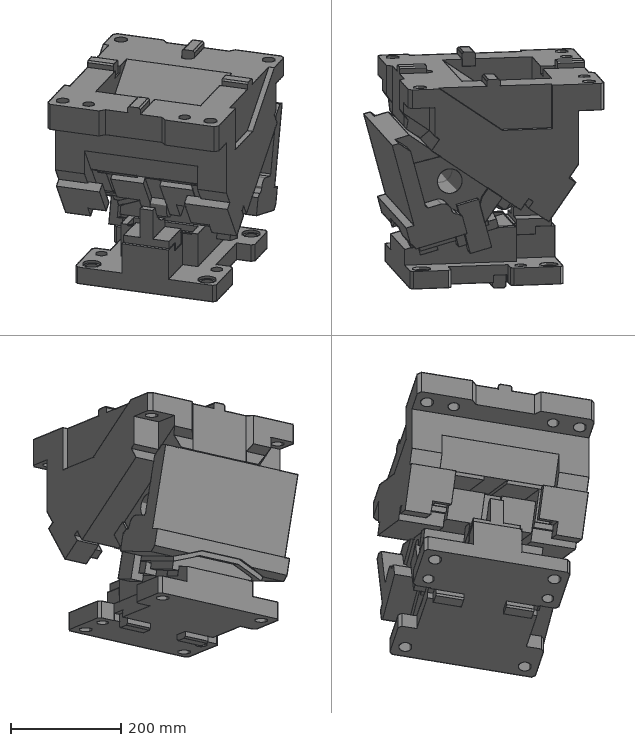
import cadquery as cq
import math

SLOPE_ANGLE = math.radians(35)
SLOPE_ORIGIN = (154.5, 157.5)
CAM_ANGLE = math.radians(15)
CAM_ORIGIN = (344.7, 80.5)
FAR = 478.8


def slope(u, v):
    """(Y, Z) of a point given in the slope frame."""
    c, s = math.cos(SLOPE_ANGLE), math.sin(SLOPE_ANGLE)
    return (SLOPE_ORIGIN[0] + u * c - v * s, SLOPE_ORIGIN[1] + u * s + v * c)


def cam(s, t):
    """(Y, Z) of a point given in the cam frame."""
    c, n = math.cos(CAM_ANGLE), math.sin(CAM_ANGLE)
    return (CAM_ORIGIN[0] - s * c + t * n, CAM_ORIGIN[1] + s * n + t * c)


def cam_at_height(t, z):
    """(Y, Z) of the point of the cam line at height t that lies at the given Z."""
    c, n = math.cos(CAM_ANGLE), math.sin(CAM_ANGLE)
    return cam((z - CAM_ORIGIN[1] - t * c) / n, t)


def prism(points, half_width):
    """Side profile in (Y, Z), extruded evenly about the middle plane."""
    return cq.Workplane("YZ").polyline(points).close().extrude(half_width, both=True)


def side_prisms(points, inner, outer):
    """The same side profile on both flanks, from |X| = inner to |X| = outer."""
    right = cq.Workplane("YZ").workplane(offset=inner).polyline(points).close().extrude(outer - inner)
    return right.union(right.mirror("YZ"))


def cam_section(points, s_start, s_end):
    """Section in (X, t), extruded along the pad from s_start to s_end."""
    y, z = cam(s_start, 0)
    direction = (0, -math.cos(CAM_ANGLE), math.sin(CAM_ANGLE))
    plane = cq.Plane(origin=(0, y, z), xDir=(1, 0, 0), normal=direction)
    return cq.Workplane(plane).polyline(points).close().extrude(s_end - s_start)


def mirrored(right_half):
    """Closed symmetric section from the points of its +X half, listed from bottom to top."""
    return right_half + [(-x, h) for x, h in reversed(right_half)]


def block(x0, x1, y0, y1, z0, z1):
    return cq.Workplane("XY").box(x1 - x0, y1 - y0, z1 - z0, centered=False).translate((x0, y0, z0))


def slope_rectangle(u0, u1, v0, v1):
    return [slope(u0, v0), slope(u1, v0), slope(u1, v1), slope(u0, v1)]


def cam_rectangle(s0, s1, t0, t1):
    return [cam(s0, t0), cam(s1, t0), cam(s1, t1), cam(s0, t1)]


def rail_key(length, width, height, bevel):
    """Locating key along X, centred, standing on Z = 0, with bevelled long upper edges."""
    key = cq.Workplane("XY").box(length, width, height, centered=(True, True, False))
    return key.edges("|X and >Z").chamfer(bevel)


KEY_WIDTH = 24.7
KEY_HEIGHT = 12.5
KEY_BEVEL = 3.0
GROOVE_DEPTH = 13.5
BOLT_RADIUS = 11.5
DOWEL_RADIUS = 10.5
TOP = 399.0

STEM_FRONT = -10.5
FLANGE_HALF = 79.0
FLANGE_TOP = 72.5
SLIDE_FRONT = 27.5
FRONT_FOOT = -58.0
SLIDE_RELIEF = -2.5
CHEEK_HALF = 149.5
CORE_HALF = 110.0

ROOF_ANGLE = math.radians(20)
ROOF_HALF = 101.7
ROOF_FLAT_HALF = 42.5
ROOF_EDGE = 8.5
ROOF_THICKNESS = 8.8
ROOF_TOP = ROOF_EDGE + (ROOF_HALF - ROOF_FLAT_HALF) * math.tan(ROOF_ANGLE)
EAR_BOTTOM = -23.0

PLATE_HALF = 330.0 / 2
PLATE_DEPTH = 360.5
PLATE_TOP = TOP - KEY_HEIGHT
PLATE_FRONT_BOTTOM = 337.5
PLATE_REAR_BOTTOM = 352.5
PLATE_CORNER = 6.8
NOTCH_DEPTH = 10.0
FRONT_NOTCH_HALF = 64.0
REAR_NOTCH_HALF = 69.5
NOTCH_RUN = 9.0

JAW_FRONT = 48.0
JAW_REAR = 313.0
JAW_END = -56.0
TOE_BOTTOM = 10.5
TOE_TOP = 97.0
TOE_BACK = -40.5
GAP_TOP = 25.0
REAR_GAP = (200.5, 211.5)
TOE_INNER_HALF = 117.0
TOE_INNER_BOTTOM = 35.0
CHANNEL_HALF = 81.8
CHANNEL_TOP = 95.8
CHANNEL_REAR = 183.5
RECESS_HALF = 109.0
ROOF_GROOVE_HALF = 21.5
ROOF_GROOVE_TOP = 102.5
STRIP_OUTER = 97.5
STRIP_SETBACK = 1.5
TOE_LIP_BACK = -37.5
RECESS_FACE = -14.8
REAR_BLOCK_HALF = 109.5
REAR_BLOCK_BACK = 351.0
REAR_BLOCK_LAP = 12.0
REAR_BLOCK_BOTTOM = 2.8
REAR_BLOCK_BEND = 332.5

POCKET_HALF = 101.0
POCKET_FLOOR = 306.0
POCKET_FRONT = 86.5
POCKET_FLAT_END = 136.5
FLANK_HALF = 154.5
FLANK_FRONT = 96.0
FLANK_FLAT_END = 188.5
SIDE_KEY_Y = 202.5
KEY_LENGTH = 50.0


def plate_outline():
    def edge(y, inward, notch_half):
        return [
            (PLATE_HALF, y + inward * PLATE_CORNER),
            (PLATE_HALF - PLATE_CORNER, y),
            (notch_half, y),
            (notch_half - NOTCH_RUN, y + inward * NOTCH_DEPTH),
        ]

    front = edge(0, 1, FRONT_NOTCH_HALF)
    rear = edge(PLATE_DEPTH, -1, REAR_NOTCH_HALF)
    left = [(-x, y) for x, y in reversed(front)] + [(-x, y) for x, y in rear]
    return front + left + list(reversed(rear))


def plate_column(bottom):
    """The outline of the top plate, extruded from the given Z up to the plate top."""
    base = cq.Workplane("XY").workplane(offset=bottom)
    return base.polyline(plate_outline()).close().extrude(PLATE_TOP - bottom)


def holder_plate():
    plate = plate_column(PLATE_FRONT_BOTTOM)
    rear_step = block(-FAR, FAR, JAW_REAR, FAR, PLATE_FRONT_BOTTOM, PLATE_REAR_BOTTOM)
    return plate.cut(rear_step)


def holder_jaws():
    undercut_rise = (slope(TOE_BACK, 0)[0] - JAW_FRONT) / math.sin(SLOPE_ANGLE)
    rear_rise = slope(REAR_GAP[1], GAP_TOP)
    profile = [
        (JAW_FRONT, PLATE_REAR_BOTTOM),
        (JAW_REAR, PLATE_REAR_BOTTOM),
        (JAW_REAR, rear_rise[1]),
        slope(REAR_GAP[0], GAP_TOP),
        slope(REAR_GAP[0], 0),
        slope(0, 0),
        slope(0, GAP_TOP),
        slope(STEM_FRONT, GAP_TOP),
        slope(STEM_FRONT, TOE_BOTTOM),
        slope(JAW_END, TOE_BOTTOM),
        slope(JAW_END, TOE_TOP),
        slope(TOE_BACK, TOE_TOP),
        slope(TOE_BACK, undercut_rise),
    ]
    jaws = prism(profile, PLATE_HALF)
    channel = slope_rectangle(-FAR / 2, CHANNEL_REAR, -FAR / 2, CHANNEL_TOP)
    jaws = jaws.cut(prism(channel, CHANNEL_HALF))
    toe_step = slope_rectangle(-FAR / 2, STEM_FRONT, -FAR / 2, TOE_INNER_BOTTOM)
    jaws = jaws.cut(prism(toe_step, TOE_INNER_HALF))
    roof_groove = slope_rectangle(RECESS_FACE, CHANNEL_REAR, CHANNEL_TOP, ROOF_GROOVE_TOP)
    jaws = jaws.cut(prism(roof_groove, ROOF_GROOVE_HALF))
    recess = [
        slope(-FAR / 2, TOE_TOP),
        slope(TOE_LIP_BACK, TOE_TOP),
        slope(TOE_LIP_BACK, TOE_BOTTOM),
        slope(RECESS_FACE, TOE_BOTTOM),
        slope(RECESS_FACE, FAR / 2),
        slope(-FAR / 2, FAR / 2),
    ]
    below_plate = block(-RECESS_HALF, RECESS_HALF, -FAR, FAR, 0, PLATE_FRONT_BOTTOM)
    jaws = jaws.cut(prism(recess, RECESS_HALF).intersect(below_plate))
    strip_end = RECESS_FACE + STRIP_SETBACK
    jaws = jaws.cut(prism(slope_rectangle(RECESS_FACE, strip_end, TOE_BOTTOM, ROOF_GROOVE_TOP), RECESS_HALF))
    strips = slope_rectangle(RECESS_FACE + STRIP_SETBACK / 2, strip_end, CHANNEL_TOP, ROOF_GROOVE_TOP)
    jaws = jaws.union(side_prisms(strips, ROOF_GROOVE_HALF, STRIP_OUTER))
    mouth = slope_rectangle(-FAR / 2, RECESS_FACE, -FAR / 2, TOE_TOP)
    return jaws.cut(prism(mouth, CHANNEL_HALF))


def holder_rear_block():
    bevel = GAP_TOP - REAR_BLOCK_BOTTOM
    bend_drop = (PLATE_DEPTH - REAR_BLOCK_BACK) / math.tan(SLOPE_ANGLE)
    back_u = REAR_BLOCK_BACK - SLOPE_ORIGIN[0] + REAR_BLOCK_BOTTOM * math.sin(SLOPE_ANGLE)
    back_u /= math.cos(SLOPE_ANGLE)
    profile = [
        (JAW_REAR - REAR_BLOCK_LAP, PLATE_REAR_BOTTOM),
        (PLATE_DEPTH, PLATE_REAR_BOTTOM),
        (PLATE_DEPTH, REAR_BLOCK_BEND),
        (REAR_BLOCK_BACK, REAR_BLOCK_BEND - bend_drop),
        slope(back_u, REAR_BLOCK_BOTTOM),
        slope(REAR_GAP[1], REAR_BLOCK_BOTTOM),
        slope(REAR_GAP[1], GAP_TOP),
    ]
    block_body = prism(profile, REAR_BLOCK_HALF).intersect(plate_column(0))
    section = mirrored([
        (REAR_BLOCK_HALF - bevel, REAR_BLOCK_BOTTOM),
        (REAR_BLOCK_HALF, GAP_TOP),
        (REAR_BLOCK_HALF, FAR),
    ])
    uphill = (0, -math.cos(SLOPE_ANGLE), -math.sin(SLOPE_ANGLE))
    plane = cq.Plane(origin=(0, *SLOPE_ORIGIN), xDir=(1, 0, 0), normal=uphill)
    return block_body.intersect(cq.Workplane(plane).polyline(section).close().extrude(-FAR))


def sunk_profile(front, flat_end):
    """Side profile of a pocket with a flat floor and a rear ramp parallel to the slope."""
    rear = flat_end + (PLATE_TOP - POCKET_FLOOR) / math.tan(SLOPE_ANGLE)
    return [(front, POCKET_FLOOR), (flat_end, POCKET_FLOOR), (rear, PLATE_TOP), (front, PLATE_TOP)]


def make_holder():
    holder = holder_plate().union(holder_jaws()).union(holder_rear_block())
    holder = holder.cut(prism(sunk_profile(POCKET_FRONT, POCKET_FLAT_END), POCKET_HALF))
    holder = holder.cut(side_prisms(sunk_profile(FLANK_FRONT, FLANK_FLAT_END), FLANK_HALF, PLATE_HALF))

    groove_floor = PLATE_TOP - GROOVE_DEPTH
    half = KEY_WIDTH / 2
    rear_end = PLATE_DEPTH - NOTCH_DEPTH - KEY_LENGTH
    side_span = (SIDE_KEY_Y - half, SIDE_KEY_Y + half)
    holder = holder.cut(block(-FLANK_HALF, FLANK_HALF, *side_span, groove_floor, TOP))
    holder = holder.cut(block(-half, half, 0, POCKET_FRONT, groove_floor, TOP))
    holder = holder.cut(block(-half, half, rear_end, PLATE_DEPTH, groove_floor, TOP))
    round_end = cq.Workplane("XY").workplane(offset=groove_floor).center(0, rear_end)
    holder = holder.cut(round_end.circle(half).extrude(GROOVE_DEPTH))

    key = rail_key(KEY_LENGTH, KEY_WIDTH, GROOVE_DEPTH + KEY_HEIGHT, KEY_BEVEL)
    key = key.translate((0, 0, groove_floor))
    cross_key = key.rotate((0, 0, 0), (0, 0, 1), 90)
    for side in (-1, 1):
        holder = holder.union(key.translate((side * (FLANK_HALF - KEY_LENGTH / 2), SIDE_KEY_Y, 0)))
    holder = holder.union(cross_key.translate((0, NOTCH_DEPTH + KEY_LENGTH / 2, 0)))
    holder = holder.union(cross_key.translate((0, PLATE_DEPTH - NOTCH_DEPTH - KEY_LENGTH / 2, 0)))

    bolts = [(x, y) for x in (-142.5, 142.5) for y in (24.7, 336.0)]
    dowels = [(-92.5, 24.7), (92.5, 24.7)]
    for places, radius in ((bolts, BOLT_RADIUS), (dowels, DOWEL_RADIUS)):
        drill = cq.Workplane("XY").workplane(offset=PLATE_FRONT_BOTTOM).pushPoints(places)
        holder = holder.cut(drill.circle(radius).extrude(TOP - PLATE_FRONT_BOTTOM))
    return holder


CHEEK_FRONT = 99.8
CLAMP_FRONT = 140.5
CLAMP_TOP = 55.5
CLAMP_BOTTOM = -37.0
CLAMP_OUTER = 117.0
HOOK_INNER = 91.0
BACK_S = 10.0
BACK_TOP = 206.0
LEDGE_S = -5.0
LEDGE_T = 51.0
WALL_S = 39.5
CHEEK_LOW = 41.5
CHEEK_HIGH = 75.0
NOSE_HALF = 36.0
NOSE_BOTTOM = -24.7
NOSE_BEVEL = 4.8
FLANGE_BOTTOM = 14.0
SLOT_HALF = 16.0
SLOT_END = 1.5
HOLE_CENTRE = (274.5, 203.5)
HOLE_RADIUS = 22.7
BOSS_CENTRE = (159.5, 149.2)
BOSS_RADIUS = 19.5
FINGER_BACK = 141.2
FLANK_RELIEF = 5.5
RELIEF_TOP = 153.0
RELIEF_LOW = -23.0
RELIEF_U = (59.0, 163.5)


def slide_cheeks():
    """Wide rear wall and lower flanks, with a wavy upper edge on the flanks."""
    profile = (
        cq.Workplane("YZ")
        .moveTo(*cam(BACK_S, BACK_TOP))
        .lineTo(*cam(BACK_S, LEDGE_T))
        .lineTo(*cam(LEDGE_S, LEDGE_T))
        .lineTo(*cam(LEDGE_S, 20.0))
        .lineTo(*cam(2.5, ROOF_EDGE))
        .lineTo(*cam(CHEEK_FRONT, ROOF_EDGE))
        .lineTo(*cam(CHEEK_FRONT, CHEEK_LOW))
        .lineTo(*cam(92.0, 48.5))
        .threePointArc(cam(87.0, 51.0), cam(83.8, 56.5))
        .threePointArc(cam(79.5, 69.5), cam(68.2, CHEEK_HIGH))
        .lineTo(*cam(43.0, CHEEK_HIGH))
        .lineTo(*cam(WALL_S, 79.0))
        .lineTo(*cam(WALL_S, 185.5))
        .lineTo(*cam(22.5, BACK_TOP))
        .close()
    )
    return profile.extrude(CHEEK_HALF, both=True)


def slide_core():
    profile = [
        cam(BACK_S, BACK_TOP),
        cam(BACK_S, ROOF_EDGE),
        slope(SLIDE_FRONT, FRONT_FOOT),
        slope(SLIDE_FRONT, SLIDE_RELIEF),
        slope(RELIEF_U[0], SLIDE_RELIEF),
        slope(RELIEF_U[0], 0),
        slope(RELIEF_U[1], 0),
        slope(RELIEF_U[1], SLIDE_RELIEF),
        cam(49.5, BACK_TOP),
    ]
    core = prism(profile, CORE_HALF)
    relief = [
        cam(WALL_S, RELIEF_TOP),
        cam(WALL_S, CHEEK_LOW),
        cam(CLAMP_FRONT, CHEEK_LOW),
        slope(RELIEF_U[0], RELIEF_LOW),
        slope(RELIEF_U[0], 4),
        slope(RELIEF_U[1], 4),
        slope(RELIEF_U[1], 0),
    ]
    return core.cut(side_prisms(relief, CORE_HALF - FLANK_RELIEF, CORE_HALF))


def slide_nose():
    """T-shaped nose whose flange runs in the channel of the holder."""
    flange = prism(slope_rectangle(STEM_FRONT, CHANNEL_REAR, FLANGE_BOTTOM, FLANGE_TOP), FLANGE_HALF)
    bevel_u = NOSE_BEVEL * math.cos(SLOPE_ANGLE)
    bevel_v = NOSE_BEVEL * math.sin(SLOPE_ANGLE)
    stem_profile = [
        slope(STEM_FRONT, FLANGE_BOTTOM),
        slope(STEM_FRONT, NOSE_BOTTOM + bevel_v),
        slope(STEM_FRONT + bevel_u, NOSE_BOTTOM),
        slope(SLIDE_FRONT + 4, NOSE_BOTTOM),
        slope(SLIDE_FRONT + 4, FLANGE_BOTTOM),
    ]
    stem = prism(stem_profile, NOSE_HALF)
    slot = prism(slope_rectangle(STEM_FRONT, SLOT_END, NOSE_BOTTOM, FLANGE_TOP), SLOT_HALF)
    boss = cq.Workplane("YZ").center(*BOSS_CENTRE).circle(BOSS_RADIUS).extrude(SLOT_HALF, both=True)
    return flange.union(stem).cut(slot).union(boss)


def slide_clamps():
    """Two hooks that reach round the driver pad and under its ears."""
    outline = [
        (CLAMP_OUTER, CLAMP_BOTTOM),
        (CLAMP_OUTER, CLAMP_TOP),
        (ROOF_HALF, CLAMP_TOP),
        (ROOF_HALF, EAR_BOTTOM),
        (HOOK_INNER, EAR_BOTTOM),
        (HOOK_INNER, CLAMP_BOTTOM),
    ]
    right = cam_section(outline, CHEEK_FRONT, CLAMP_FRONT)
    return right.union(right.mirror("YZ"))


def make_slide():
    slide = slide_cheeks().union(slide_core()).union(slide_nose())
    roof_space = mirrored([(ROOF_HALF, -FAR), (ROOF_HALF, ROOF_EDGE), (ROOF_FLAT_HALF, ROOF_TOP)])
    slide = slide.cut(cam_section(roof_space, -FAR / 4, PAD_S[1]))
    slide = slide.union(slide_clamps())
    hole = cq.Workplane("YZ").center(*HOLE_CENTRE).circle(HOLE_RADIUS).extrude(FAR, both=True)
    return slide.cut(hole)


BASE_HALF = 135.5
BASE_FRONT = 70.2
BASE_REAR = 352.5
BASE_BOTTOM = KEY_HEIGHT
BASE_TOP = 44.5
BASE_CORNER = 5.5
BASE_NOTCH = (167.0, 276.5)
BASE_NOTCH_DEPTH = 33.5
BASE_BOLT_X = 111.5
BASE_BOLT_Y = (93.5, 328.0)
BASE_DOWEL_Y = 145.2
COUNTERBORE_RADIUS = 16.5
COUNTERBORE_DEPTH = 4.8
RISER_HALF = 74.2
RISER_FRONT = 146.0
RISER_TOP = 108.5
REAR_LIP = -4.8
LIP_START = (CAM_ORIGIN[0] - BASE_REAR + REAR_LIP * math.sin(CAM_ANGLE)) / math.cos(CAM_ANGLE)
TROUGH_HALF = 62.0
TROUGH_FLOOR = -26.7
TROUGH_LENGTH = 32.7
PAD_HALF = 88.5
PAD_S = (16.0, 165.5)
PAD_BOTTOM = -12.8
ROOF_PLATE_END = 148.5
EAR_HALF = 99.8
EAR_S = (84.5, 127.0)
EAR_TOP = -2.0
LUG_HALF = 74.5
LUG_END = 49.5
BLOCK_HALF = 45.0
BLOCK_TOP = 102.0
SEAT_FLOOR = 87.8
SEAT_FRONT = 106.0
FOOT_HALF = 44.0
FOOT_TOP = 116.5
FOOT_FRONT = 76.5
FINGER_HALF = 12.5
FINGER_TOP = 172.8
FINGER_TOP_BACK = 90.0
FINGER_HOLLOW = (111.7, 142.5)
FINGER_SHOULDER = 133.0
BASE_KEY_X = (39.5, 91.5)
BASE_KEY_Y = 181.0


def base_plate():
    c = BASE_CORNER
    inner = BASE_HALF - BASE_NOTCH_DEPTH
    front, rear = BASE_NOTCH
    right = [
        (BASE_HALF - c, BASE_FRONT),
        (BASE_HALF, BASE_FRONT + c),
        (BASE_HALF, front - c),
        (BASE_HALF - c, front),
        (inner, front),
        (inner, rear),
        (BASE_HALF - c, rear),
        (BASE_HALF, rear + c),
        (BASE_HALF, BASE_REAR - c),
        (BASE_HALF - c, BASE_REAR),
    ]
    plate = cq.Workplane("XY").workplane(offset=BASE_BOTTOM).polyline(mirrored(right)).close()
    plate = plate.extrude(BASE_TOP - BASE_BOTTOM)

    bolts = [(x, y) for x in (-BASE_BOLT_X, BASE_BOLT_X) for y in BASE_BOLT_Y]
    dowels = [(x, BASE_DOWEL_Y) for x in (-BASE_BOLT_X, BASE_BOLT_X)]
    face = plate.faces(">Z").workplane(origin=(0, 0, BASE_TOP))
    plate = face.pushPoints(bolts).cboreHole(2 * BOLT_RADIUS, 2 * COUNTERBORE_RADIUS, COUNTERBORE_DEPTH)
    face = plate.faces(">Z").workplane(origin=(0, 0, BASE_TOP))
    return face.pushPoints(dowels).hole(2 * DOWEL_RADIUS)


def base_keys():
    """Pair of keys under the base and the open groove ends beside them."""
    x0, x1 = BASE_KEY_X
    key = rail_key(x1 - x0, KEY_WIDTH, KEY_HEIGHT + GROOVE_DEPTH, KEY_BEVEL)
    groove_top = BASE_BOTTOM + GROOVE_DEPTH
    key = key.rotate((0, 0, 0), (1, 0, 0), 180)
    key = key.translate(((x0 + x1) / 2, BASE_KEY_Y, groove_top))
    half = KEY_WIDTH / 2
    groove = block(x1, BASE_HALF, BASE_KEY_Y - half, BASE_KEY_Y + half, 0, groove_top)
    return key.union(key.mirror("YZ")), groove.union(groove.mirror("YZ"))


def riser():
    profile = [
        (RISER_FRONT, BASE_BOTTOM),
        (BASE_REAR, BASE_BOTTOM),
        cam(LIP_START, REAR_LIP),
        cam(PAD_S[0], REAR_LIP),
        cam(PAD_S[0], PAD_BOTTOM),
        cam_at_height(PAD_BOTTOM, RISER_TOP),
        (RISER_FRONT, RISER_TOP),
    ]
    front_block = [
        (BASE_FRONT, BASE_BOTTOM),
        (RISER_FRONT, BASE_BOTTOM),
        (RISER_FRONT, RISER_TOP),
        (FINGER_BACK, RISER_TOP),
        (FINGER_BACK, SEAT_FLOOR),
        (SEAT_FRONT, SEAT_FLOOR),
        (SEAT_FRONT, BLOCK_TOP),
        (BASE_FRONT, BLOCK_TOP),
    ]
    trough = cam_rectangle(PAD_S[1], PAD_S[1] + TROUGH_LENGTH, TROUGH_FLOOR, 0)
    stepped = prism(profile, RISER_HALF).union(prism(front_block, BLOCK_HALF))
    return stepped.cut(prism(trough, TROUGH_HALF))


def roofed_pad():
    """Inclined pad with side ears and a rear lug, covered by a wider roof plate."""
    rise = ROOF_THICKNESS / math.cos(ROOF_ANGLE)
    tilt_in = ROOF_THICKNESS * math.sin(ROOF_ANGLE)
    tilt_down = ROOF_THICKNESS * math.cos(ROOF_ANGLE)
    eave = ROOF_EDGE + (ROOF_HALF - PAD_HALF) * math.tan(ROOF_ANGLE) - rise
    pad = cam_section(
        mirrored([(PAD_HALF, PAD_BOTTOM), (PAD_HALF, eave), (ROOF_FLAT_HALF, ROOF_TOP - rise)]), *PAD_S
    )
    plate = cam_section(
        mirrored([
            (ROOF_FLAT_HALF, ROOF_TOP - rise),
            (ROOF_HALF - tilt_in, ROOF_EDGE - tilt_down),
            (ROOF_HALF, ROOF_EDGE),
            (ROOF_FLAT_HALF, ROOF_TOP),
        ]),
        0,
        ROOF_PLATE_END,
    )
    ears = prism(cam_rectangle(*EAR_S, EAR_BOTTOM, EAR_TOP), EAR_HALF)
    lug = prism(cam_rectangle(PAD_S[0], LUG_END, EAR_BOTTOM, PAD_BOTTOM), LUG_HALF)
    return pad.union(plate).union(ears).union(lug)


def finger():
    """Foot seated in the front block, with a thin upright whose rear edge is hollowed."""
    foot = prism(
        [
            (FINGER_BACK, SEAT_FLOOR),
            (SEAT_FRONT, SEAT_FLOOR),
            (SEAT_FRONT, BLOCK_TOP),
            (FOOT_FRONT, BLOCK_TOP),
            (FOOT_FRONT, FOOT_TOP),
            (FINGER_BACK, FOOT_TOP),
        ],
        FOOT_HALF,
    )
    upright = (
        cq.Workplane("YZ")
        .moveTo(FOOT_FRONT, FOOT_TOP)
        .lineTo(FOOT_FRONT, FINGER_TOP)
        .lineTo(FINGER_TOP_BACK, FINGER_TOP)
        .threePointArc(FINGER_HOLLOW, (FINGER_BACK, FINGER_SHOULDER))
        .lineTo(FINGER_BACK, FOOT_TOP)
        .close()
        .extrude(FINGER_HALF, both=True)
    )
    return foot.union(upright)


def make_driver():
    keys, grooves = base_keys()
    driver = base_plate().union(riser()).cut(grooves).union(keys)
    return driver.union(roofed_pad()).union(finger())


holder = make_holder()
slide = make_slide()
driver = make_driver()

result = cq.Compound.makeCompound([holder.solids().val(), slide.solids().val(), driver.solids().val()])